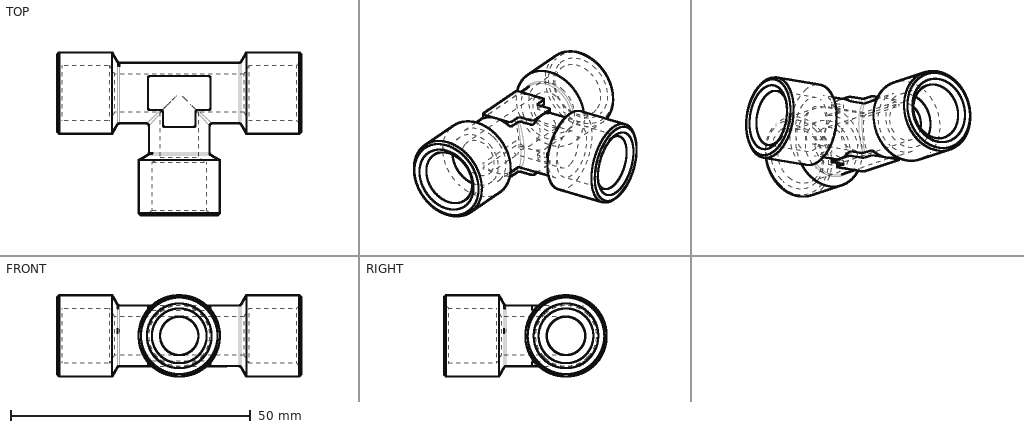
import cadquery as cq
import math

run_half_length = 25.5
branch_length = 25.5

collar_radius = 8.5
collar_length = 11.5
collar_chamfer = 0.5
neck_radius = 6.35
shoulder_angle = 30.0
shoulder_length = (collar_radius - neck_radius) * math.tan(math.radians(shoulder_angle))
shoulder_fillet = 0.5
crotch_fillet = 0.5

passage_radius = 4.0
socket_radius = 5.72
socket_mouth_radius = 6.75
socket_depth = 11.0
mouth_chamfer_depth = socket_mouth_radius - socket_radius
drill_half_angle = 59.0
drill_tip_length = (socket_radius - passage_radius) / math.tan(math.radians(drill_half_angle))

pad_bar_half_width = 6.55
pad_bar_half_depth = 3.55
pad_stem_half_width = 3.4
pad_stem_end = 7.1
pad_half_height = neck_radius
pad_corner_radius = 0.5

arms = [
    (cq.Vector(1, 0, 0), run_half_length),
    (cq.Vector(-1, 0, 0), run_half_length),
    (cq.Vector(0, -1, 0), branch_length),
]


def arm_plane(direction):
    """Plane at the junction whose local X is the vertical and local Y the arm axis."""
    up = cq.Vector(0, 0, 1)
    return cq.Plane(origin=(0, 0, 0), xDir=up, normal=up.cross(direction))


def revolve_about_arm(profile):
    return profile.close().revolve(360, (0, 0), (0, 1))


def make_neck(direction, length):
    """Plain round neck from the junction to inside the collar."""
    neck_end = length - collar_length
    across_arm = cq.Plane(origin=(0, 0, 0), normal=direction)
    return cq.Workplane(across_arm).circle(neck_radius).extrude(neck_end)


def make_collar(direction, length):
    """Collar with a chamfered rim, a conical shoulder and a fillet onto the neck."""
    shoulder_start = length - collar_length
    shoulder_end = shoulder_start - shoulder_length
    turn = math.radians(90 - shoulder_angle)
    tangent_length = shoulder_fillet * math.tan(turn / 2)
    fillet_on_neck = (neck_radius, shoulder_end - tangent_length)
    fillet_on_shoulder = (
        neck_radius + tangent_length * math.sin(turn),
        shoulder_end + tangent_length * math.cos(turn),
    )
    fillet_middle = (
        neck_radius + shoulder_fillet * (1 - math.cos(turn / 2)),
        fillet_on_neck[1] + shoulder_fillet * math.sin(turn / 2),
    )
    profile = (
        cq.Workplane(arm_plane(direction))
        .moveTo(0, fillet_on_neck[1])
        .lineTo(*fillet_on_neck)
        .threePointArc(fillet_middle, fillet_on_shoulder)
        .lineTo(collar_radius, shoulder_start)
        .lineTo(collar_radius, length - collar_chamfer)
        .lineTo(collar_radius - collar_chamfer, length)
        .lineTo(0, length)
    )
    return revolve_about_arm(profile)


def make_bore(direction, length):
    """Through passage, drilled socket with a conical bottom, and chamfered mouth."""
    socket_bottom = length - socket_depth
    profile = (
        cq.Workplane(arm_plane(direction))
        .moveTo(0, 0)
        .lineTo(passage_radius, 0)
        .lineTo(passage_radius, socket_bottom - drill_tip_length)
        .lineTo(socket_radius, socket_bottom)
        .lineTo(socket_radius, length - mouth_chamfer_depth)
        .lineTo(socket_mouth_radius, length)
        .lineTo(0, length)
    )
    return revolve_about_arm(profile)


def make_pads():
    """T-shaped prism whose two ends are the flat pads."""
    bar = cq.Workplane("XY").rect(2 * pad_bar_half_width, 2 * pad_bar_half_depth)
    bar = bar.extrude(pad_half_height, both=True)
    stem = (
        cq.Workplane("XY")
        .center(0, -pad_stem_end / 2)
        .rect(2 * pad_stem_half_width, pad_stem_end)
        .extrude(pad_half_height, both=True)
    )
    return bar.union(stem).edges("|Z").fillet(pad_corner_radius)


def make_junction():
    """Necks and pads joined together, with the crotch rounded on both sides of the branch."""
    junction = make_pads()
    for direction, length in arms:
        junction = junction.union(make_neck(direction, length))
    return junction.edges("%ELLIPSE").fillet(crotch_fillet)


result = make_junction()
for arm_direction, arm_length in arms:
    result = result.union(make_collar(arm_direction, arm_length))
for arm_direction, arm_length in arms:
    result = result.cut(make_bore(arm_direction, arm_length))